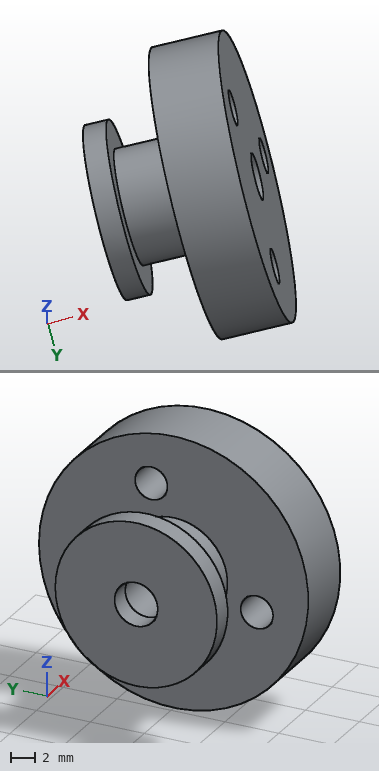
import cadquery as cq
import math

cap_thickness = 2.0
neck_length = 5.0
flange_thickness = 6.0
neck_end = cap_thickness + neck_length

cap_diameter = 15.0
neck_diameter = 10.0
flange_diameter = 25.0
bore_diameter = 4.0
bolt_hole_diameter = 3.0

bolt_circle_radius = 8.0
bolt_hole_count = 3
first_bolt_angle = 75.0


def disc(start_x, length, diameter, y=0.0, z=0.0):
    """Cylinder along +X, starting at start_x and centred on (y, z)."""
    plane = cq.Workplane("YZ", origin=(start_x, y, z))
    return plane.circle(diameter / 2).extrude(length)


def make_cap():
    """Washer that closes the open end of the neck."""
    bore = disc(0, cap_thickness, bore_diameter)
    return disc(0, cap_thickness, cap_diameter).cut(bore)


def make_hub():
    """Flange and neck with a through bore and a ring of bolt holes."""
    neck = disc(cap_thickness, neck_length, neck_diameter)
    flange = disc(neck_end, flange_thickness, flange_diameter)
    bore = disc(cap_thickness, neck_length + flange_thickness, bore_diameter)
    hub = neck.union(flange).cut(bore)
    for index in range(bolt_hole_count):
        angle = math.radians(first_bolt_angle + index * 360 / bolt_hole_count)
        hole_y = bolt_circle_radius * math.cos(angle)
        hole_z = bolt_circle_radius * math.sin(angle)
        hub = hub.cut(disc(neck_end, flange_thickness, bolt_hole_diameter, hole_y, hole_z))
    return hub


cap = make_cap()
hub = make_hub()
result = cq.Compound.makeCompound([cap.val(), hub.val()])